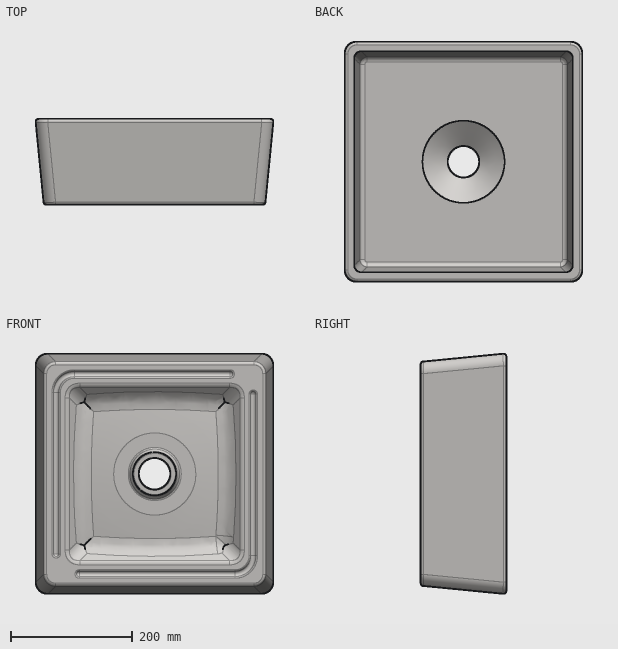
import cadquery as cq
import math

width = 393.0
height = 397.0
depth = 142.0
underside_y = -depth / 2
depth_tolerance = 0.5

side_draft = 5.6
corner_radius = 20.0
edge_radius = 5.0

recess_width = 287.5
recess_height = 291.5
recess_wall_tilt = 43.0
recess_corner_radius = 24.0
recess_rim_radius = 10.5
recess_floor_fillet = 35.7
recess_floor_depth = 18.5
recess_reach = 47.5
dome_radius = 1151.0
dome_flat_radius = 68.0
dome_edge_radius = 238.0

boss_base_radius = 42.0
boss_neck_radius = 35.7
boss_neck_depth = 8.5
boss_top_depth = 1.0
boss_base_fillet = 3.0
boss_neck_fillet = 8.0
boss_top_fillet = 1.5

drain_radius = 25.8
drain_length = 12.7
drain_edge_radius = 1.0
funnel_radius = dome_flat_radius

bowl_floor_depth = 39.5
wall_thickness = 16.0
bowl_corner_radius = 12.0
bowl_floor_fillet = 8.0

groove_x = 162.7
groove_z = 165.0
groove_bend_radius = 30.0
groove_end_x = 124.5
groove_end_z = 131.8
groove_radius = 4.8
groove_edge_radius = 2.8


def plane_at(depth_inside):
    """Plane facing -Y, at a given depth from the underside."""
    return cq.Workplane("XZ", origin=(0, underside_y + depth_inside, 0))


def edges_between(solid, half_size, first_depth, last_depth):
    """Edges centred between two depths, inside a square around the drain axis."""
    box = cq.selectors.BoxSelector(
        (-half_size, underside_y + first_depth, -half_size),
        (half_size, underside_y + last_depth, half_size),
    )
    return solid.edges(box)


def edges_at(solid, half_size, edge_depth):
    """Edges centred at one depth, inside a square around the drain axis."""
    return edges_between(solid, half_size, edge_depth - depth_tolerance, edge_depth + depth_tolerance)


def sloped_edges(solid):
    """The four corner edges of a block whose other edges run along X or Z."""
    return solid.edges("not(|X or |Z)")


def revolve_about_drain(profile):
    """Turn a (radius, Y) profile about the drain axis."""
    return profile.close().revolve(360, (0, 0, 0), (0, 1, 0))


def make_body():
    edge_angle = math.radians(90 - side_draft)
    rounding_loss = edge_radius * (1 / math.tan(edge_angle / 2) - 1)
    body = (
        plane_at(depth)
        .rect(width + 2 * rounding_loss, height + 2 * rounding_loss)
        .extrude(depth, taper=side_draft)
    )
    body = sloped_edges(body).fillet(corner_radius)
    return body.faces("<Y or >Y").edges().fillet(edge_radius)


def make_dome_limit():
    """Everything on the underside of the recess floor: a flat disc ringed by a dome."""
    floor_y = underside_y + recess_floor_depth

    def dome_y(radius):
        return floor_y + (radius ** 2 - dome_flat_radius ** 2) / (2 * dome_radius)

    middle_radius = (dome_flat_radius + dome_edge_radius) / 2
    dome = revolve_about_drain(
        cq.Workplane("XY")
        .moveTo(0, underside_y)
        .lineTo(0, floor_y)
        .lineTo(dome_flat_radius, floor_y)
        .threePointArc((middle_radius, dome_y(middle_radius)), (dome_edge_radius, dome_y(dome_edge_radius)))
        .lineTo(dome_edge_radius, underside_y)
    )
    return dome.rotate((0, 0, 0), (0, 1, 0), 45)


def make_recess():
    pyramid = (
        plane_at(0)
        .rect(recess_width, recess_height)
        .extrude(-recess_reach, taper=recess_wall_tilt)
    )
    rounded = sloped_edges(pyramid).fillet(recess_corner_radius)
    recess = pyramid.intersect(make_dome_limit())
    shallowest = recess_floor_depth + depth_tolerance
    floor_edges = edges_between(recess, recess_height / 2, shallowest, recess_reach)
    recess = floor_edges.fillet(recess_floor_fillet)
    return recess.intersect(rounded)


def make_boss():
    base_y = underside_y + recess_floor_depth
    neck_y = underside_y + boss_neck_depth
    top_y = underside_y + boss_top_depth
    boss = revolve_about_drain(
        cq.Workplane("XY")
        .moveTo(0, base_y)
        .lineTo(boss_base_radius, base_y)
        .lineTo(boss_neck_radius, neck_y)
        .lineTo(boss_neck_radius, top_y)
        .lineTo(0, top_y)
    )
    boss = edges_at(boss, boss_base_radius, boss_neck_depth).fillet(boss_neck_fillet)
    return boss.faces("<Y").edges().fillet(boss_top_fillet)


def make_groove():
    bend_x = groove_x - groove_bend_radius
    bend_z = groove_z - groove_bend_radius
    diagonal = groove_bend_radius * math.sqrt(0.5)
    path = (
        plane_at(0)
        .moveTo(-groove_x, -groove_end_z)
        .lineTo(-groove_x, bend_z)
        .threePointArc((-bend_x - diagonal, bend_z + diagonal), (-bend_x, groove_z))
        .lineTo(groove_end_x, groove_z)
    )
    groove = (
        cq.Workplane("XY", origin=(-groove_x, underside_y, -groove_end_z))
        .circle(groove_radius)
        .sweep(path)
    )
    ends = [(-groove_x, underside_y, -groove_end_z), (groove_end_x, underside_y, groove_z)]
    for end in ends:
        groove = groove.union(cq.Workplane("XY", origin=end).sphere(groove_radius))
    return groove


def make_bowl():
    bowl_depth = depth - bowl_floor_depth
    bowl = (
        plane_at(depth)
        .rect(width - 2 * wall_thickness, height - 2 * wall_thickness)
        .extrude(bowl_depth, taper=side_draft)
    )
    bowl = sloped_edges(bowl).fillet(bowl_corner_radius)
    return bowl.faces("<Y").edges().fillet(bowl_floor_fillet)


def make_drain():
    hole = plane_at(0).circle(drain_radius).extrude(-bowl_floor_depth)
    funnel = (
        plane_at(bowl_floor_depth)
        .circle(funnel_radius)
        .workplane(offset=bowl_floor_depth - boss_top_depth - drain_length)
        .circle(drain_radius)
        .loft()
    )
    return hole.union(funnel)


def add_recess(solid):
    solid = solid.cut(make_recess())
    return edges_at(solid, recess_height / 2, 0).fillet(recess_rim_radius)


def add_grooves(solid):
    def is_groove_edge(edge):
        centre = edge.Center()
        return max(abs(centre.x), abs(centre.z)) > recess_height / 2 + recess_rim_radius

    groove = make_groove()
    for turn in (0, 180):
        solid = solid.cut(groove.rotate((0, 0, 0), (0, 1, 0), turn))
    groove_edges = edges_at(solid, groove_z + groove_radius, 0).filter(is_groove_edge)
    return groove_edges.fillet(groove_edge_radius)


def add_boss(solid):
    solid = solid.union(make_boss())
    return edges_at(solid, boss_base_radius, recess_floor_depth).fillet(boss_base_fillet)


def add_drain(solid):
    solid = solid.cut(make_drain())
    longest = 2 * math.pi * (drain_radius + drain_edge_radius)
    top_edges = edges_at(solid, drain_radius, boss_top_depth)
    mouth = top_edges.filter(lambda edge: edge.Length() < longest)
    return mouth.fillet(drain_edge_radius)


basin = add_recess(make_body())
basin = add_grooves(basin)
basin = add_boss(basin)
basin = basin.cut(make_bowl())
result = add_drain(basin).solids()